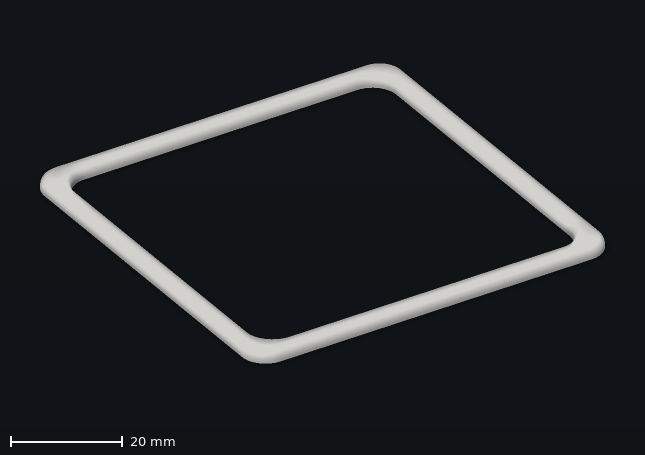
import cadquery as cq

outer_side = 76.0
bar_width = 4.0
height = 2.5
corner_radius = 5.0
edge_radius = 1.75

inner_side = outer_side - 2 * bar_width


def rounded_square_prism(side):
    """Square prism standing on Z = 0 with rounded vertical edges."""
    return cq.Workplane("XY").rect(side, side).extrude(height).edges("|Z").fillet(corner_radius)


frame = rounded_square_prism(outer_side).cut(rounded_square_prism(inner_side))

result = frame.faces(">Z").edges().fillet(edge_radius)